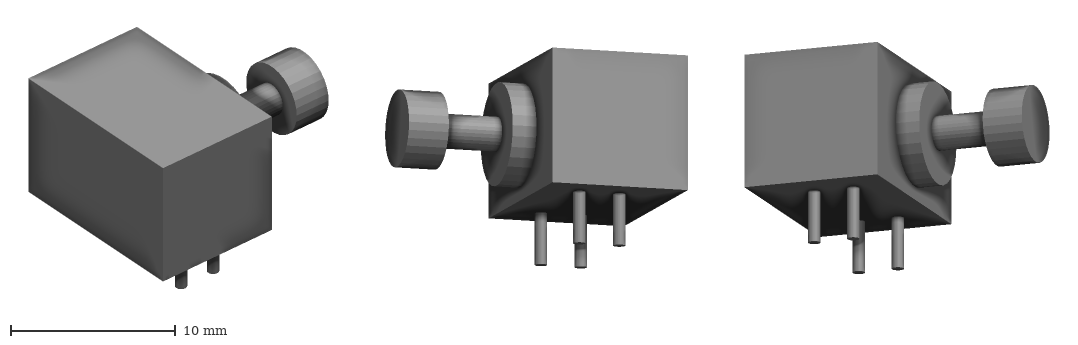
import cadquery as cq


side_count = 30

housing_width = 12.7
housing_depth = 8.63
overall_height = 11.5
pin_length = 3.19
housing_height = overall_height - pin_length

axis_height = 4.0
bushing_diameter = 6.35
bushing_length = 1.52
shaft_diameter = 2.13
shaft_length = 3.81
button_diameter = 4.75
overall_depth = 16.51
button_length = overall_depth - housing_depth - bushing_length - shaft_length

pin_diameter = 0.76
pin_pitch_x = 7.63
pin_pitch_y = 2.55
front_pin_row_y = 3.57


def make_housing():
    """Plain box standing on Z = 0."""
    return (
        cq.Workplane("XY")
        .box(housing_width, housing_depth, housing_height, centered=(True, False, False))
    )


def make_actuator_prism(diameter, length, start_y):
    """Many-sided prism on the actuator axis that runs from start_y along +Y."""
    start_plane = cq.Plane(origin=(0, start_y, axis_height), xDir=(1, 0, 0), normal=(0, 1, 0))
    return cq.Workplane(start_plane).polygon(side_count, diameter).extrude(length)


def make_pin(x, y):
    """Many-sided solder pin that hangs from the underside of the housing."""
    return cq.Workplane("XY").center(x, y).polygon(side_count, pin_diameter).extrude(-pin_length)


housing = make_housing()

bushing_start = housing_depth
shaft_start = bushing_start + bushing_length
button_start = shaft_start + shaft_length
bushing = make_actuator_prism(bushing_diameter, bushing_length, bushing_start)
shaft = make_actuator_prism(shaft_diameter, shaft_length, shaft_start)
button = make_actuator_prism(button_diameter, button_length, button_start)

pins = []
for pin_x in (-pin_pitch_x / 2, pin_pitch_x / 2):
    for pin_y in (front_pin_row_y, front_pin_row_y + pin_pitch_y):
        pins.append(make_pin(pin_x, pin_y).val())

result = cq.Compound.makeCompound(
    [housing.val(), bushing.val(), shaft.val(), button.val(), *pins]
)